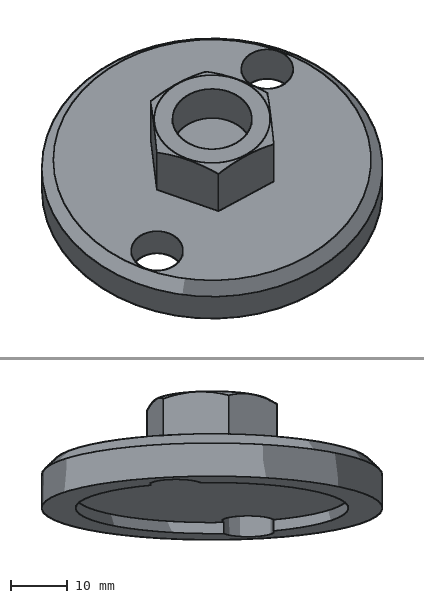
import cadquery as cq
import math

flange_diameter = 60.0
flange_height = 8.0
flange_chamfer = 2.05

recess_depth = 2.0
rim_thickness = 6.0
recess_diameter = flange_diameter - 2 * rim_thickness

total_height = 19.0
hex_across_corners = 23.9
hex_top_diameter = 20.4
hex_chamfer_angle = 30.0
bore_diameter = 14.0
bore_depth = 7.85

hole_diameter = 9.1
hole_offset = 23.2


def make_flange():
    disc = cq.Workplane("XY").circle(flange_diameter / 2).extrude(flange_height)
    return disc.faces(">Z").edges().chamfer(flange_chamfer)


def make_hex_boss():
    """Hexagon with corners on the X axis, its top corners turned to a cone."""
    corner_radius = hex_across_corners / 2
    top_radius = hex_top_diameter / 2
    corner_drop = (corner_radius - top_radius) * math.tan(math.radians(hex_chamfer_angle))
    prism = (
        cq.Workplane("XY")
        .workplane(offset=flange_height)
        .polygon(6, hex_across_corners)
        .extrude(total_height - flange_height)
    )
    envelope = (
        cq.Workplane("XZ")
        .moveTo(0, 0)
        .lineTo(corner_radius, 0)
        .lineTo(corner_radius, total_height - corner_drop)
        .lineTo(top_radius, total_height)
        .lineTo(0, total_height)
        .close()
        .revolve(360, (0, 0, 0), (0, 1, 0))
    )
    return prism.intersect(envelope)


body = make_flange().union(make_hex_boss())

bore = (
    cq.Workplane("XY")
    .workplane(offset=total_height - bore_depth)
    .circle(bore_diameter / 2)
    .extrude(bore_depth)
)
through_holes = (
    cq.Workplane("XY")
    .pushPoints([(0, hole_offset), (0, -hole_offset)])
    .circle(hole_diameter / 2)
    .extrude(flange_height)
)

recess = cq.Workplane("XY").circle(recess_diameter / 2).extrude(recess_depth)

result = body.cut(bore).cut(through_holes).cut(recess)